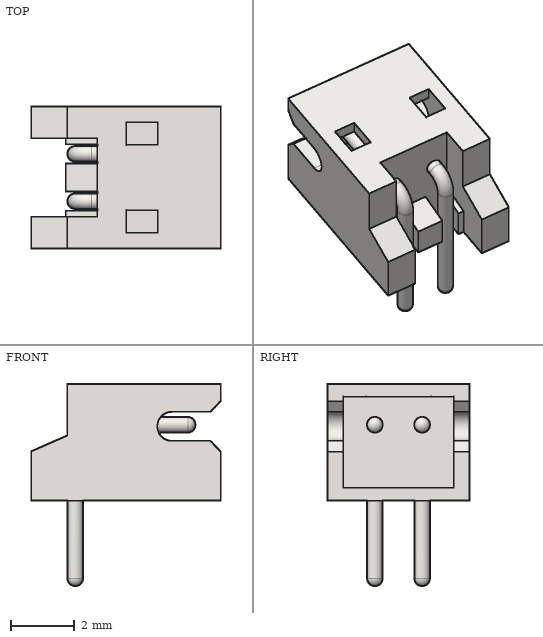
import cadquery as cq

length = 6.0
width = 4.5
height = 3.69
total_height = 6.4
side_wall = 1.01
tail_depth = 1.14
tail_height = 1.56
tail_top = 2.06
recess_depth = 2.1

cavity_wall = 0.505
cavity_start = 3.01
cavity_floor = 0.4
cavity_ceiling = 0.4
window_length = 0.99
window_width = 0.71
slot_start = 3.995
slot_bottom = 1.895
slot_top = 2.8
mouth_chamfer_length = 0.33
mouth_chamfer_height = 0.345

comb_start = 1.095
comb_front_height = 0.96
comb_rear_height = 1.165
comb_gap = 0.6

pin_diameter = 0.5
pin_radius = pin_diameter / 2
pin_pitch = 1.5
pin_x = 1.395
pin_z = 2.4
pin_tip_x = 5.2
pin_tip_z = height - total_height
bend_radius = 0.505
pin_positions = (-pin_pitch / 2, pin_pitch / 2)


def box(x_range, y_range, z_range):
    """Box between the given pairs of limits."""
    size = [high - low for low, high in (x_range, y_range, z_range)]
    corner = (x_range[0], y_range[0], z_range[0])
    return cq.Workplane("XY").box(*size, centered=False).translate(corner)


def extrude_profile(profile, depth):
    """Extrude a closed XZ outline symmetrically about Y = 0."""
    return profile.close().extrude(depth / 2, both=True)


def make_body():
    """Side outline with the stepped tail and the rounded, flared slot."""
    slot_radius = (slot_top - slot_bottom) / 2
    arc_x = slot_start + slot_radius
    flare_x = length - mouth_chamfer_length
    profile = (
        cq.Workplane("XZ")
        .lineTo(length, 0)
        .lineTo(length, slot_bottom - mouth_chamfer_height)
        .lineTo(flare_x, slot_bottom)
        .lineTo(arc_x, slot_bottom)
        .threePointArc((slot_start, slot_bottom + slot_radius), (arc_x, slot_top))
        .lineTo(flare_x, slot_top)
        .lineTo(length, slot_top + mouth_chamfer_height)
        .lineTo(length, height)
        .lineTo(tail_depth, height)
        .lineTo(tail_depth, tail_top)
        .lineTo(0, tail_height)
    )
    return extrude_profile(profile, width)


def make_recess():
    half_width = width / 2 - side_wall
    return box((0, recess_depth), (-half_width, half_width), (0, height))


def make_cavity():
    """Cavity open at the mating end, with two windows through its ceiling."""
    half_width = width / 2 - cavity_wall
    cavity = box(
        (cavity_start, length),
        (-half_width, half_width),
        (cavity_floor, height - cavity_ceiling),
    )
    window_x = (cavity_start, cavity_start + window_length)
    window_z = (cavity_floor, height)
    inner_edge = half_width - window_width
    for window_y in ((-half_width, -inner_edge), (inner_edge, half_width)):
        cavity = cavity.union(box(window_x, window_y, window_z))
    return cavity


def make_comb():
    """Sloped bar across the recess with a gap around each pin."""
    profile = (
        cq.Workplane("XZ")
        .moveTo(comb_start, 0)
        .lineTo(recess_depth, 0)
        .lineTo(recess_depth, comb_rear_height)
        .lineTo(comb_start, comb_front_height)
    )
    comb = extrude_profile(profile, width - 2 * side_wall)
    for y in pin_positions:
        gap_y = (y - comb_gap / 2, y + comb_gap / 2)
        comb = comb.cut(box((comb_start, recess_depth), gap_y, (0, comb_rear_height)))
    return comb


def make_pin(y):
    """Right-angle pin: vertical leg, quarter bend, horizontal leg, domed tips."""
    leg_bottom = pin_tip_z + pin_radius
    leg_top = pin_z - bend_radius
    bend_end = pin_x + bend_radius
    contact_end = pin_tip_x - pin_radius
    leg = (
        cq.Workplane("XY", origin=(pin_x, y, leg_bottom))
        .circle(pin_radius)
        .extrude(leg_top - leg_bottom)
    )
    bend = (
        cq.Workplane("XY", origin=(pin_x, y, leg_top))
        .circle(pin_radius)
        .revolve(90, (bend_radius, 0, 0), (bend_radius, 1, 0))
    )
    contact = (
        cq.Workplane("YZ", origin=(bend_end, y, pin_z))
        .circle(pin_radius)
        .extrude(contact_end - bend_end)
    )
    pin = leg.union(bend).union(contact)
    for tip in ((pin_x, y, leg_bottom), (contact_end, y, pin_z)):
        pin = pin.union(cq.Workplane("XY").sphere(pin_radius).translate(tip))
    return pin


result = make_body().cut(make_recess()).cut(make_cavity()).union(make_comb())
for pin_y in pin_positions:
    result = result.union(make_pin(pin_y))